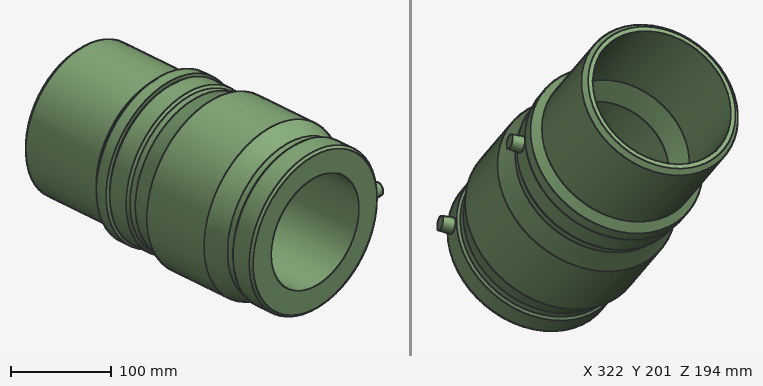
import cadquery as cq

full_turn = 360.0

total_length = 322.0

spigot_radius = 170.0 / 2
spigot_end_radius = 160.0 / 2
spigot_chamfer = spigot_radius - spigot_end_radius
spigot_length = 102.0

collar_radius = 187.0 / 2
collar_end = 124.0
collar_taper = collar_radius - spigot_radius

ring_length = 28.0
ring_radius = 182.36 / 2
neck_radius = 176.89 / 2
ring_chamfer = ring_radius - neck_radius
near_ring_start = collar_end
near_ring_end = near_ring_start + ring_length
far_ring_start = total_length - ring_length

barrel_radius = 194.0 / 2
neck_length = 7.5
cone_length = 24.0
near_cone_start = near_ring_end + neck_length
far_cone_end = far_ring_start - neck_length

spigot_bore_radius = 150.0 / 2
socket_bore_radius = 125.0 / 2
bore_taper_start = spigot_length
bore_taper_end = collar_end

pin_top = 104.0
pin_top_radius = 15.0 / 2
pin_base_radius = 17.0 / 2
pin_root = spigot_radius


def revolved(profile_points):
    """Solid of revolution about the X axis from (x, radius) points, closed along the axis."""
    start_x = profile_points[0][0]
    end_x = profile_points[-1][0]
    outline = [(start_x, 0.0)] + profile_points + [(end_x, 0.0)]
    profile = cq.Workplane("XY").polyline(outline).close()
    return profile.revolve(full_turn, (0, 0, 0), (1, 0, 0))


def ring_points(start_x):
    """Outline of one terminal ring, chamfered at both ends down to the neck."""
    end_x = start_x + ring_length
    return [
        (start_x, neck_radius),
        (start_x + ring_chamfer, ring_radius),
        (end_x - ring_chamfer, ring_radius),
        (end_x, neck_radius),
    ]


def make_body():
    """Solid outer shape: spigot, collar, near ring, barrel and far ring."""
    spigot = [
        (0.0, spigot_end_radius),
        (spigot_chamfer, spigot_radius),
        (spigot_length, spigot_radius),
    ]
    collar = [
        (spigot_length + collar_taper, collar_radius),
        (collar_end, collar_radius),
    ]
    barrel = [
        (near_cone_start, neck_radius),
        (near_cone_start + cone_length, barrel_radius),
        (far_cone_end - cone_length, barrel_radius),
        (far_cone_end, neck_radius),
    ]
    near_ring = ring_points(near_ring_start)
    far_ring = ring_points(far_ring_start)
    return revolved(spigot + collar + near_ring + barrel + far_ring)


def make_bore():
    """Through bore, wide in the spigot and narrower beyond the collar."""
    return revolved([
        (0.0, spigot_bore_radius),
        (bore_taper_start, spigot_bore_radius),
        (bore_taper_end, socket_bore_radius),
        (total_length, socket_bore_radius),
    ])


def make_pin(ring_start):
    """Tapered pin at mid-width of a ring, rooted inside the wall."""
    center_x = ring_start + ring_length / 2
    outline = [
        (0.0, pin_root),
        (pin_base_radius, pin_root),
        (pin_base_radius, ring_radius),
        (pin_top_radius, pin_top),
        (0.0, pin_top),
    ]
    profile = cq.Workplane("XY").polyline(outline).close()
    return profile.revolve(full_turn, (0, 0, 0), (0, 1, 0)).translate((center_x, 0, 0))


result = make_body().cut(make_bore())
for ring_start in (near_ring_start, far_ring_start):
    result = result.union(make_pin(ring_start))